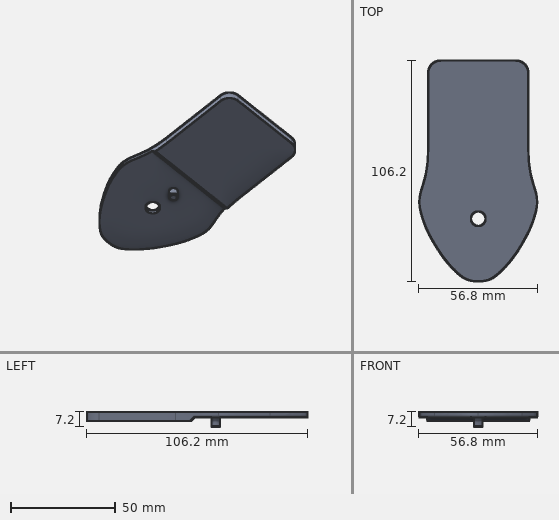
import cadquery as cq

length = 106.2
handle_end = 76.0
tip = handle_end - length
handle_half_width = 24.1
handle_corner_radius = 6.0
handle_straight_end = 33.3

handle_thickness = 4.5
blade_thickness = 2.5
ramp_start = 26.1
edge_bevel_height = 0.6
edge_bevel_inset = 0.1
selection_margin = 0.1

hole_diameter = 6.9
pin_diameter = 4.2
pin_y = 14.0
pin_bottom = 7.2
pin_chamfer = 0.4

neck_start = (handle_half_width, handle_straight_end)
neck_points = [(25.0, 22.9), (26.2, 17.5)]
shoulder = (27.7, 12.7)
shoulder_direction = (0.24, -1)
side_points = [(28.4, 7.6), (26.8, 0)]
side_end = (21.1, -12.1)
side_end_direction = (-0.58, -1)
tip_points = [(14.9, -21.1), (8.3, -27.6)]
tip_end = (0, tip)
along_handle = (0, -1)
across_tip = (-1, 0)


def flat_body():
    """Full symmetric outline extruded downward at the thickness of the handle."""
    return (
        cq.Workplane("XY")
        .moveTo(0, handle_end)
        .lineTo(handle_half_width, handle_end)
        .lineTo(*neck_start)
        .spline([neck_start, *neck_points, shoulder], tangents=[along_handle, shoulder_direction])
        .spline([shoulder, *side_points, side_end], tangents=[shoulder_direction, side_end_direction])
        .spline([side_end, *tip_points, tip_end], tangents=[side_end_direction, across_tip])
        .mirrorY()
        .extrude(-handle_thickness)
        .edges("|Z and >Y")
        .fillet(handle_corner_radius)
    )


def blade_relief():
    """Material below the blade, bounded by a 45 degree ramp at the handle."""
    ramp_rise = handle_thickness - blade_thickness
    return (
        cq.Workplane("YZ")
        .moveTo(ramp_start, -handle_thickness)
        .lineTo(ramp_start - ramp_rise, -blade_thickness)
        .lineTo(tip - handle_thickness, -blade_thickness)
        .lineTo(tip - handle_thickness, -handle_thickness)
        .close()
        .extrude(length, both=True)
    )


def beveled_body():
    """Body with a slight bevel around the lower edge of the blade and the ramp sides."""
    body = flat_body().cut(blade_relief())
    blade_edges = cq.selectors.BoxSelector(
        (-length, tip - selection_margin, -handle_thickness),
        (length, ramp_start - selection_margin, -blade_thickness + selection_margin),
    )
    rim = body.edges(blade_edges).edges("not |X")
    return rim.chamfer(edge_bevel_height, edge_bevel_inset)


def pin():
    """Round pin hanging below the blade, chamfered at its free end."""
    return (
        cq.Workplane("XY")
        .center(0, pin_y)
        .circle(pin_diameter / 2)
        .extrude(-pin_bottom)
        .faces("<Z")
        .chamfer(pin_chamfer)
    )


hole = cq.Workplane("XY").circle(hole_diameter / 2).extrude(-handle_thickness)

result = beveled_body().union(pin()).cut(hole)